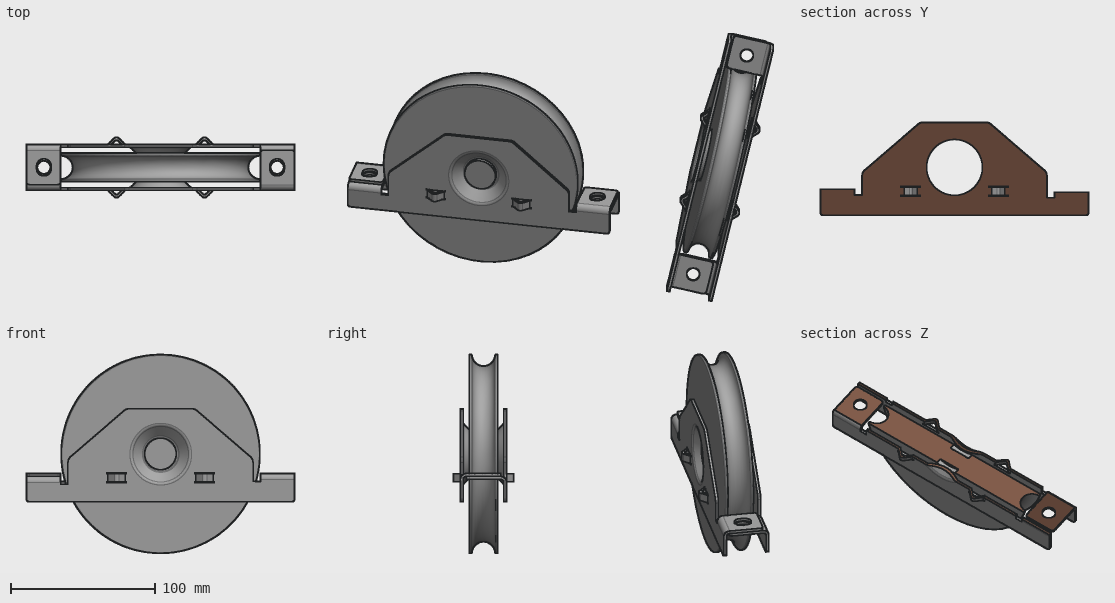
import cadquery as cq
import math

LENGTH = 186.0

SHEET = 2.0
BEND_INNER = 1.0
BEND_OUTER = BEND_INNER + SHEET
PLATE_OUTER_Y = 16.0
PLATE_INNER_Y = PLATE_OUTER_Y - SHEET

PLATE_TOP_Z = 31.2
PLATE_BOTTOM_Z = -33.3
TOP_HALF_WIDTH = 23.8
SHOULDER_HALF_WIDTH = 64.2
SHOULDER_Z = -3.5
OUTLINE_RADIUS = 5.0
CORNER_RADIUS = 2.0

FLANGE_TOP_Z = -13.5
LOWER_FLANGE_TOP_Z = FLANGE_TOP_Z - SHEET
FLANGE_INNER_X = 69.2
FLANGE_TIP_Y = 11.9
FLANGE_BEND = 4.0
RELIEF_DEPTH = 5.4
SCREW_X = 81.0
SCREW_DIAMETER = 9.0
SLOT_WIDTH = 10.2
SLOT_LENGTH = 11.9

DISH_DIAMETER = 40.4
DISH_DEPTH = 7.8
DISH_RIM_RADIUS = 26.0
DISH_SLOPE = math.radians(45)

OVERALL_Y = 42.0
LOOP_X = 30.5
LOOP_Z = -16.5
LOOP_HEIGHT = 5.8
LOOP_SHEET = 1.9
LOOP_NOSE_RADIUS = 2.5
LOOP_INNER_RADIUS = 1.5
WINDOW_HALF_WIDTH = 6.7
WINDOW_HEIGHT = 6.7

WHEEL_DIAMETER = 138.0
WHEEL_HALF_WIDTH = 10.0
GROOVE_RADIUS = 8.0
RIM_FILLET = 0.5
WHEEL_RECESS_DIAMETER = 36.5

AXLE_DIAMETER = 17.0
AXLE_BORE = 17.1
HEAD_DIAMETER = 22.0
HEAD_HEIGHT = 3.0

FLOOR_OUTER_Y = PLATE_OUTER_Y - DISH_DEPTH
FLOOR_INNER_Y = FLOOR_OUTER_Y - SHEET

RADIUS_TOLERANCE = 0.002


def revolve_about_axle(profile):
    """Turn a closed profile (X = radius, Y = place along the axle) about the Y axis."""
    return profile.close().revolve(360, (0, 0, 0), (0, 1, 0))


def cylinder_on_axle(diameter, y_start, y_end):
    profile = cq.Workplane("XY").moveTo(0, y_start).lineTo(diameter / 2, y_start)
    return revolve_about_axle(profile.lineTo(diameter / 2, y_end).lineTo(0, y_end))


def circles_of_radius(radii):
    """Edge test that picks the circles with one of the given radii."""
    return lambda edge: any(abs(edge.radius() - radius) < RADIUS_TOLERANCE for radius in radii)


def plate_panel():
    """Flat panel with its sloped shoulders and the bend reliefs beside the two flanges."""
    end_x = LENGTH / 2
    left_relief_z = LOWER_FLANGE_TOP_Z - RELIEF_DEPTH
    right_relief_z = FLANGE_TOP_Z - RELIEF_DEPTH
    outline = [
        (-end_x, PLATE_BOTTOM_Z),
        (end_x, PLATE_BOTTOM_Z),
        (end_x, FLANGE_TOP_Z - FLANGE_BEND),
        (FLANGE_INNER_X, FLANGE_TOP_Z - FLANGE_BEND),
        (FLANGE_INNER_X, right_relief_z),
        (SHOULDER_HALF_WIDTH, right_relief_z),
        (SHOULDER_HALF_WIDTH, SHOULDER_Z),
        (TOP_HALF_WIDTH, PLATE_TOP_Z),
        (-TOP_HALF_WIDTH, PLATE_TOP_Z),
        (-SHOULDER_HALF_WIDTH, SHOULDER_Z),
        (-SHOULDER_HALF_WIDTH, left_relief_z),
        (-FLANGE_INNER_X, left_relief_z),
        (-FLANGE_INNER_X, LOWER_FLANGE_TOP_Z - FLANGE_BEND),
        (-end_x, LOWER_FLANGE_TOP_Z - FLANGE_BEND),
    ]
    panel = cq.Workplane("XZ", origin=(0, -PLATE_INNER_Y, 0)).polyline(outline).close().extrude(SHEET)
    bottom_corners = cq.selectors.BoxSelector(
        (-LENGTH, -LENGTH, PLATE_BOTTOM_Z - SHEET), (LENGTH, LENGTH, PLATE_BOTTOM_Z + SHEET)
    )
    upper_corners = cq.selectors.BoxSelector(
        (-LENGTH, -LENGTH, SHOULDER_Z - SHEET), (LENGTH, LENGTH, PLATE_TOP_Z + SHEET)
    )
    panel = panel.edges("|Y").edges(bottom_corners).fillet(CORNER_RADIUS)
    return panel.edges("|Y").edges(upper_corners).fillet(OUTLINE_RADIUS)


def flange(x_start, top_z):
    """Mounting flange bent over from the panel towards +Y, with rounded tip corners."""
    length = LENGTH / 2 - FLANGE_INNER_X
    bend_z = top_z - FLANGE_BEND
    bend_y = FLANGE_BEND - PLATE_OUTER_Y
    inner_radius = FLANGE_BEND - SHEET
    diagonal = math.sqrt(0.5)
    body = (
        cq.Workplane("YZ", origin=(x_start, 0, 0))
        .moveTo(-PLATE_OUTER_Y, bend_z)
        .threePointArc((bend_y - FLANGE_BEND * diagonal, bend_z + FLANGE_BEND * diagonal), (bend_y, top_z))
        .lineTo(FLANGE_TIP_Y, top_z)
        .lineTo(FLANGE_TIP_Y, top_z - SHEET)
        .lineTo(bend_y, top_z - SHEET)
        .threePointArc(
            (bend_y - inner_radius * diagonal, bend_z + inner_radius * diagonal), (-PLATE_INNER_Y, bend_z)
        )
        .close()
        .extrude(length)
    )
    return body.edges("|Z and >Y").fillet(CORNER_RADIUS)


def dish():
    """Conical dish with a flat floor and a hole for the axle, ringed by a strip of flat panel."""
    entry_radius = DISH_DIAMETER / 2
    floor_radius = entry_radius - DISH_DEPTH / math.tan(DISH_SLOPE)
    back_offset = SHEET * math.tan(DISH_SLOPE / 2)
    sheet = revolve_about_axle(
        cq.Workplane("XY")
        .moveTo(AXLE_BORE / 2, -FLOOR_OUTER_Y)
        .lineTo(floor_radius, -FLOOR_OUTER_Y)
        .lineTo(entry_radius, -PLATE_OUTER_Y)
        .lineTo(DISH_RIM_RADIUS, -PLATE_OUTER_Y)
        .lineTo(DISH_RIM_RADIUS, -PLATE_INNER_Y)
        .lineTo(entry_radius + back_offset, -PLATE_INNER_Y)
        .lineTo(floor_radius + back_offset, -FLOOR_INNER_Y)
        .lineTo(AXLE_BORE / 2, -FLOOR_INNER_Y)
    )
    convex_bends = circles_of_radius([entry_radius, floor_radius + back_offset])
    concave_bends = circles_of_radius([floor_radius, entry_radius + back_offset])
    sheet = sheet.edges("%CIRCLE").filter(convex_bends).fillet(BEND_OUTER)
    return sheet.edges("%CIRCLE").filter(concave_bends).fillet(BEND_INNER)


def loop(center_x):
    """V-shaped strip with 45-degree legs and a rounded nose, joined to both ends of its window."""
    outer_apex_y = OVERALL_Y / 2 + LOOP_NOSE_RADIUS * (math.sqrt(2) - 1)
    foot_half_width = outer_apex_y - PLATE_OUTER_Y
    inner_apex_y = outer_apex_y - LOOP_SHEET * math.sqrt(2)
    inner_half_width = inner_apex_y - PLATE_INNER_Y
    strip = (
        cq.Workplane("XY", origin=(center_x, 0, LOOP_Z - LOOP_HEIGHT / 2))
        .moveTo(-WINDOW_HALF_WIDTH, -PLATE_INNER_Y)
        .lineTo(-WINDOW_HALF_WIDTH, -PLATE_OUTER_Y)
        .lineTo(-foot_half_width, -PLATE_OUTER_Y)
        .lineTo(0, -outer_apex_y)
        .lineTo(foot_half_width, -PLATE_OUTER_Y)
        .lineTo(WINDOW_HALF_WIDTH, -PLATE_OUTER_Y)
        .lineTo(WINDOW_HALF_WIDTH, -PLATE_INNER_Y)
        .lineTo(inner_half_width, -PLATE_INNER_Y)
        .lineTo(0, -inner_apex_y)
        .lineTo(-inner_half_width, -PLATE_INNER_Y)
        .close()
        .extrude(LOOP_HEIGHT)
    )
    strip = strip.edges("|Z and <Y").fillet(LOOP_NOSE_RADIUS)
    inner_edge = cq.selectors.NearestToPointSelector((center_x, -inner_apex_y, LOOP_Z))
    return strip.edges("|Z").edges(inner_edge).fillet(LOOP_INNER_RADIUS)


def loop_window(center_x):
    """Opening in the panel, slightly taller than the loop that bridges it."""
    window = cq.Workplane("XY").box(2 * WINDOW_HALF_WIDTH, SHEET, WINDOW_HEIGHT)
    return window.translate((center_x, -(PLATE_OUTER_Y + PLATE_INNER_Y) / 2, LOOP_Z))


def bracket_plate():
    plate = plate_panel()
    plate = plate.union(flange(-LENGTH / 2, LOWER_FLANGE_TOP_Z))
    plate = plate.union(flange(FLANGE_INNER_X, FLANGE_TOP_Z))
    plate = plate.cut(cylinder_on_axle(2 * DISH_RIM_RADIUS, -PLATE_OUTER_Y, -PLATE_INNER_Y))
    plate = plate.union(dish())
    for center_x in (-LOOP_X, LOOP_X):
        plate = plate.cut(loop_window(center_x)).union(loop(center_x))
    flange_holes = cq.Workplane("XY", origin=(0, 0, LOWER_FLANGE_TOP_Z - SHEET))
    round_hole = flange_holes.center(-SCREW_X, 0).circle(SCREW_DIAMETER / 2).extrude(SHEET)
    slot = flange_holes.workplane(offset=SHEET).center(SCREW_X, 0)
    slot = slot.slot2D(SLOT_LENGTH, SLOT_WIDTH, 90).extrude(SHEET)
    return plate.cut(round_hole).cut(slot)


def wheel():
    """Grooved wheel with a recess on each side for the dishes and a bore for the axle."""
    rim_radius = WHEEL_DIAMETER / 2
    body = revolve_about_axle(
        cq.Workplane("XY")
        .moveTo(AXLE_BORE / 2, -WHEEL_HALF_WIDTH)
        .lineTo(rim_radius, -WHEEL_HALF_WIDTH)
        .lineTo(rim_radius, -GROOVE_RADIUS)
        .threePointArc((rim_radius - GROOVE_RADIUS, 0), (rim_radius, GROOVE_RADIUS))
        .lineTo(rim_radius, WHEEL_HALF_WIDTH)
        .lineTo(AXLE_BORE / 2, WHEEL_HALF_WIDTH)
    )
    body = body.edges("%CIRCLE").filter(circles_of_radius([rim_radius])).fillet(RIM_FILLET)
    for side in (-1, 1):
        recess = cylinder_on_axle(WHEEL_RECESS_DIAMETER, side * FLOOR_INNER_Y, side * WHEEL_HALF_WIDTH)
        body = body.cut(recess)
    return body


def axle():
    """Rivet-like axle: a shank through both dish floors and a head resting in each dish."""
    body = cylinder_on_axle(AXLE_DIAMETER, -FLOOR_OUTER_Y, FLOOR_OUTER_Y)
    for side in (-1, 1):
        head = cylinder_on_axle(HEAD_DIAMETER, side * FLOOR_OUTER_Y, side * (FLOOR_OUTER_Y + HEAD_HEIGHT))
        body = body.union(head)
    return body


plates = [bracket_plate().rotate((0, 0, 0), (0, 0, 1), turn).val() for turn in (0, 180)]

result = cq.Compound.makeCompound([wheel().val(), axle().val(), *plates])